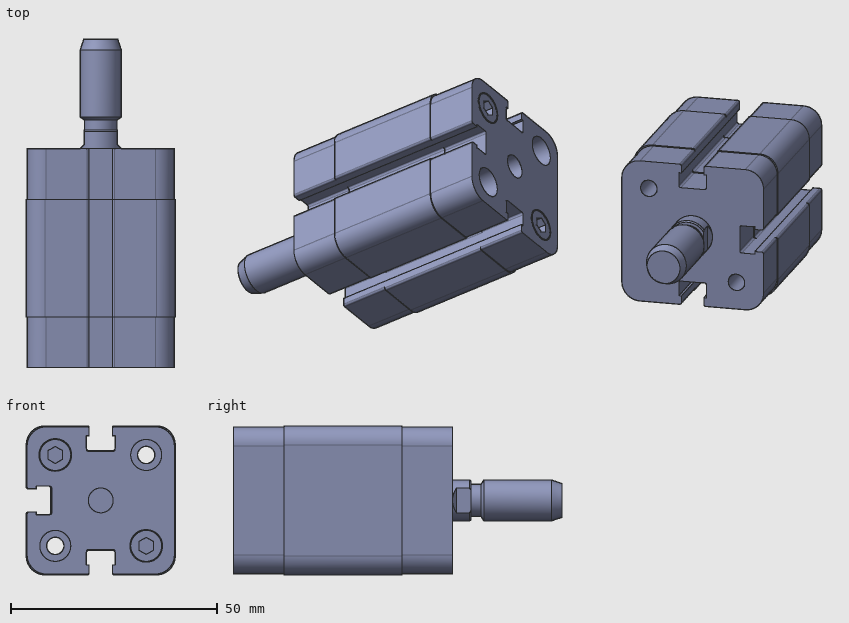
import cadquery as cq


barrel_width = 36.1
cap_inset = 0.25
cap_width = barrel_width - 2 * cap_inset
cap_length = 12.25
body_length = 53.0
barrel_length = body_length - 2 * cap_length
corner_radius = 4.6

slot_mouth_width = 5.6
slot_inner_width = 6.9
slot_lip_depth = 2.45
slot_depth = 5.95
slot_lip_radius = 0.5
slot_floor_radius = 0.5
slot_angles = (0, 180, 270)

bolt_offset = 11.0
mount_hole_diameter = 4.13
mount_counterbore_diameter = 7.5
mount_counterbore_depth = 4.6
screw_bore_diameter = 7.9
screw_head_diameter = 7.5
screw_gap_depth = 0.3
hex_across_corners = 4.13
hex_depth = 3.0
centre_hole_diameter = 6.0
centre_hole_depth = 6.0
mount_points = [(bolt_offset, bolt_offset), (-bolt_offset, -bolt_offset)]
screw_points = [(-bolt_offset, bolt_offset), (bolt_offset, -bolt_offset)]

rod_length = 26.5
rod_diameter = 10.0
neck_diameter = 7.9
tip_diameter = 8.25
tip_length = 2.6
collar_length = 4.5
collar_chamfer_length = 0.4
collar_chamfer_depth = 0.3
neck_end = 6.9
thread_chamfer_length = 0.7
flat_width = 8.0


def rear_plane():
    """Plane of the rear face, with local axes X and Z; a negative extrusion runs towards +Y."""
    return cq.Workplane("XZ")


def slot_cutter(width, length):
    """T-slot opening to +Z in a square section of this width, from y = 0 to y = length."""
    surface = width / 2
    floor = surface - slot_depth
    lip_bottom = barrel_width / 2 - slot_lip_depth
    mouth = slot_mouth_width / 2
    inner = slot_inner_width / 2
    flare = mouth + slot_lip_radius
    floor_edge = inner - slot_floor_radius
    return (
        rear_plane()
        .moveTo(-flare, surface)
        .radiusArc((-mouth, surface - slot_lip_radius), slot_lip_radius)
        .lineTo(-mouth, lip_bottom)
        .lineTo(-inner, lip_bottom)
        .lineTo(-inner, floor + slot_floor_radius)
        .radiusArc((-floor_edge, floor), -slot_floor_radius)
        .lineTo(floor_edge, floor)
        .radiusArc((inner, floor + slot_floor_radius), -slot_floor_radius)
        .lineTo(inner, lip_bottom)
        .lineTo(mouth, lip_bottom)
        .lineTo(mouth, surface - slot_lip_radius)
        .radiusArc((flare, surface), slot_lip_radius)
        .close()
        .extrude(-length)
    )


def body_segment(width, length, y_start):
    """Rounded square block with its three T-slots, starting at y_start."""
    segment = rear_plane().rect(width, width).extrude(-length)
    segment = segment.edges("|Y").fillet(corner_radius)
    cutter = slot_cutter(width, length)
    for angle in slot_angles:
        segment = segment.cut(cutter.rotate((0, 0, 0), (0, 1, 0), angle))
    return segment.translate((0, y_start, 0))


def wrench_flat(side):
    """Cutter for one flat on the collar, running out at 45 degrees to the body face."""
    outer = side * rod_diameter / 2
    inner = side * flat_width / 2
    runout = (rod_diameter - flat_width) / 2
    return (
        cq.Workplane("XY", origin=(0, body_length, 0))
        .moveTo(outer, 0)
        .lineTo(inner, runout)
        .lineTo(inner, collar_length)
        .lineTo(outer, collar_length)
        .close()
        .extrude(rod_diameter / 2, both=True)
    )


def rod():
    """Turned rod with a wrench collar, an undercut neck and a tapered threaded end."""
    radius = rod_diameter / 2
    neck_radius = neck_diameter / 2
    turned = (
        cq.Workplane("XY", origin=(0, body_length, 0))
        .lineTo(radius, 0)
        .lineTo(radius, collar_length - collar_chamfer_length)
        .lineTo(radius - collar_chamfer_depth, collar_length)
        .lineTo(neck_radius, collar_length)
        .lineTo(neck_radius, neck_end)
        .lineTo(radius, neck_end + thread_chamfer_length)
        .lineTo(radius, rod_length - tip_length)
        .lineTo(tip_diameter / 2, rod_length)
        .lineTo(0, rod_length)
        .close()
        .revolve(360, (0, 0, 0), (0, 1, 0))
    )
    return turned.cut(wrench_flat(1)).cut(wrench_flat(-1))


def rear_bore(points, diameter, depth):
    """Round cutters sunk into the rear face."""
    return rear_plane().pushPoints(points).circle(diameter / 2).extrude(-depth)


def screw_gap():
    """Thin ring round each flush screw head."""
    bores = rear_bore(screw_points, screw_bore_diameter, screw_gap_depth)
    heads = rear_bore(screw_points, screw_head_diameter, screw_gap_depth)
    return bores.cut(heads)


def hex_socket():
    """Hexagonal cutter on the Y axis, with two of its corners on the Z axis."""
    hexagon = rear_plane().polygon(6, hex_across_corners).extrude(-hex_depth)
    return hexagon.rotate((0, 0, 0), (0, 1, 0), 90)


barrel_start = cap_length
front_cap_start = cap_length + barrel_length
body = body_segment(cap_width, cap_length, 0)
body = body.union(body_segment(barrel_width, barrel_length, barrel_start))
body = body.union(body_segment(cap_width, cap_length, front_cap_start))

body = body.cut(rear_bore(mount_points, mount_hole_diameter, body_length))
body = body.cut(rear_bore(mount_points, mount_counterbore_diameter, mount_counterbore_depth))
body = body.cut(rear_bore([(0, 0)], centre_hole_diameter, centre_hole_depth))

body = body.cut(screw_gap())
for x, z in screw_points:
    body = body.cut(hex_socket().translate((x, 0, z)))

result = body.union(rod())